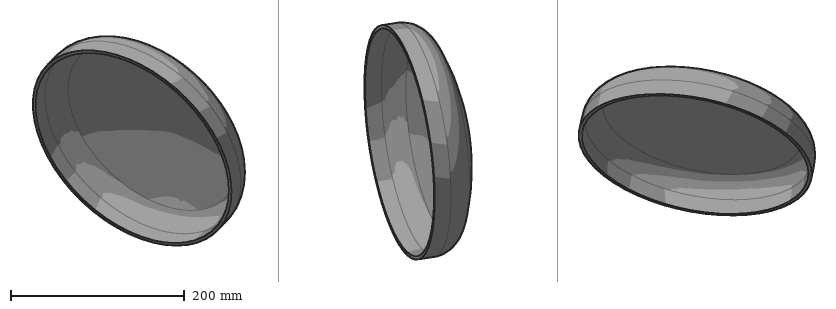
import cadquery as cq
import math

outer_diameter = 273.0
inner_diameter = 265.0
flange_length = 19.0
inner_crown_radius = outer_diameter
knuckle_ratio = 0.1
inner_knuckle_radius = knuckle_ratio * outer_diameter

wall = (outer_diameter - inner_diameter) / 2
outer_crown_radius = inner_crown_radius + wall
outer_knuckle_radius = inner_knuckle_radius + wall

knuckle_centre_x = inner_diameter / 2 - inner_knuckle_radius
knuckle_centre_y = flange_length
centre_distance = inner_crown_radius - inner_knuckle_radius
crown_centre_y = knuckle_centre_y - math.sqrt(centre_distance**2 - knuckle_centre_x**2)

tangent_angle = math.asin(knuckle_centre_x / centre_distance)
knuckle_mid_angle = (tangent_angle + math.pi / 2) / 2


def knuckle_point(radius, angle):
    """Point on a knuckle arc, with the angle measured from the +Y direction."""
    return (
        knuckle_centre_x + radius * math.sin(angle),
        knuckle_centre_y + radius * math.cos(angle),
    )


def crown_point(radius, angle):
    """Point on a crown arc, with the angle measured from the +Y axis."""
    return (radius * math.sin(angle), crown_centre_y + radius * math.cos(angle))


def wall_profile():
    """Half section of the wall, from the open rim to the pole and back."""
    return (
        cq.Workplane("XY")
        .moveTo(outer_diameter / 2, 0)
        .lineTo(outer_diameter / 2, flange_length)
        .threePointArc(
            knuckle_point(outer_knuckle_radius, knuckle_mid_angle),
            knuckle_point(outer_knuckle_radius, tangent_angle),
        )
        .threePointArc(
            crown_point(outer_crown_radius, tangent_angle / 2),
            crown_point(outer_crown_radius, 0),
        )
        .lineTo(*crown_point(inner_crown_radius, 0))
        .threePointArc(
            crown_point(inner_crown_radius, tangent_angle / 2),
            crown_point(inner_crown_radius, tangent_angle),
        )
        .threePointArc(
            knuckle_point(inner_knuckle_radius, knuckle_mid_angle),
            knuckle_point(inner_knuckle_radius, math.pi / 2),
        )
        .lineTo(inner_diameter / 2, 0)
        .close()
    )


result = wall_profile().revolve(360, (0, 0, 0), (0, 1, 0))